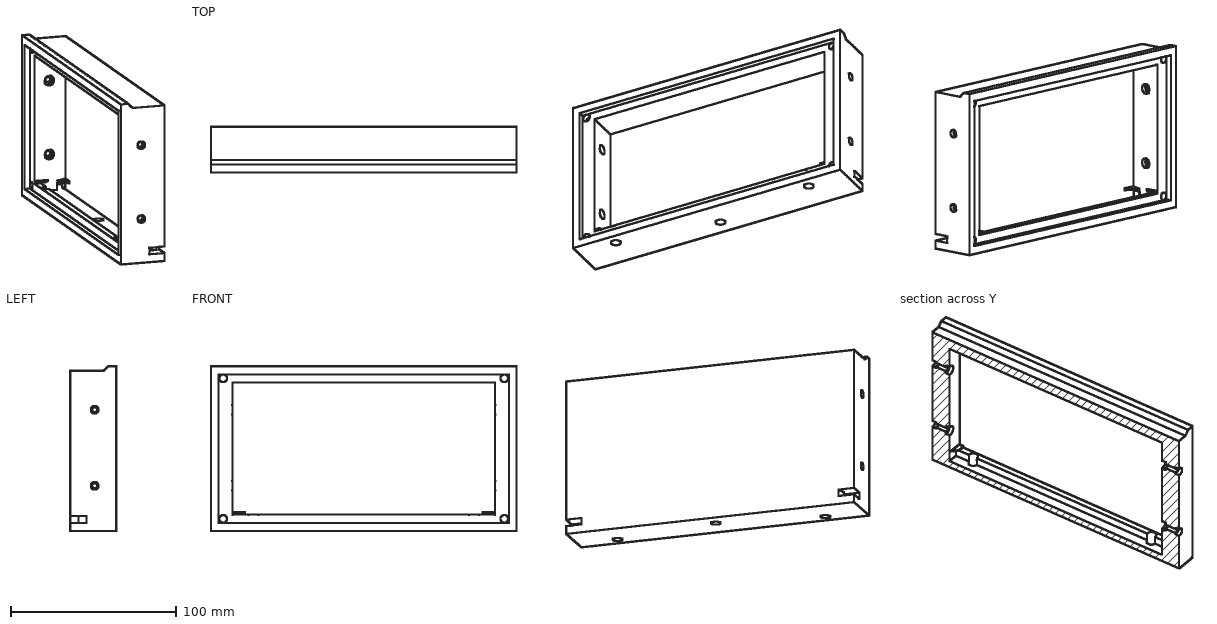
import cadquery as cq

length = 185.0
depth = 28.0
height = 100.0

lip_height = 2.8
lip_flat = 4.8
roof_z = height - lip_height

recess_margin_x = 4.6
recess_margin_z = 5.0
recess_depth = 3.5
window_margin_x = 13.0
window_margin_z = 10.0
frame_back_y = 7.5
cavity_back_y = 23.3
floor_z = 5.0
cavity_top_z = height - window_margin_z

corner_hole_diameter = 4.6
corner_hole_inset = 7.4
corner_hole_depth = 3.7

side_hole_y = 13.1
side_hole_heights = (27.4, 73.5)
side_throat_diameter = 3.1
side_outer_diameter = 4.6
side_inner_diameter = 6.0
side_bore_depth = 2.8

floor_hole_diameter = 6.0
front_hole_x = 25.7
front_hole_y = 7.2
middle_hole_y = 17.4

slot_height = 4.0
slot_radius = 9.8
slot_inner_y = 22.8

tab_length = 7.8
tab_reach = 2.2
tab_top_z = 11.7
tab_thickness = 1.5
tab_fall = 0.5
inner_tab_reach = 5.2

shelf_width = 3.3
shelf_front_y = 4.0
shelf_back_y = 12.4
shelf_thickness = 0.5


def box_between(low, high):
    """Box spanning two opposite corners."""
    size = [b - a for a, b in zip(low, high)]
    return cq.Workplane("XY").box(*size, centered=False).translate(low)


def x_cylinder(diameter, x_start, run, z):
    """Cylinder along X at the side screw position."""
    start = cq.Vector(x_start, side_hole_y, z)
    return cq.Workplane(obj=cq.Solid.makeCylinder(diameter / 2, run, start, cq.Vector(1, 0, 0)))


def both_ends(shape):
    """The shape joined with its mirror image about the middle of the length."""
    return shape.union(shape.mirror("YZ", (length / 2, 0, 0)))


def make_shell():
    profile = [
        (0, 0), (depth, 0), (depth, roof_z), (lip_flat + lip_height, roof_z),
        (lip_flat, height), (0, height),
    ]
    shell = cq.Workplane("YZ").polyline(profile).close().extrude(length)
    recess = box_between(
        (recess_margin_x, 0, recess_margin_z),
        (length - recess_margin_x, recess_depth, height - recess_margin_z),
    )
    window = box_between(
        (window_margin_x, 0, window_margin_z),
        (length - window_margin_x, frame_back_y, height - window_margin_z),
    )
    cavity = box_between(
        (window_margin_x, frame_back_y, floor_z),
        (length - window_margin_x, cavity_back_y, cavity_top_z),
    )
    return shell.cut(recess).cut(window).cut(cavity)


def corner_holes():
    return (
        cq.Workplane("XZ", origin=(length / 2, recess_depth, height / 2))
        .rect(length - 2 * corner_hole_inset, height - 2 * corner_hole_inset, forConstruction=True)
        .vertices()
        .circle(corner_hole_diameter / 2)
        .extrude(-corner_hole_depth)
    )


def side_holes():
    holes = cq.Workplane()
    for z in side_hole_heights:
        holes = holes.add(x_cylinder(side_throat_diameter, 0, window_margin_x, z))
        holes = holes.add(x_cylinder(side_outer_diameter, 0, side_bore_depth, z))
        inner_start = window_margin_x - side_bore_depth
        holes = holes.add(x_cylinder(side_inner_diameter, inner_start, side_bore_depth, z))
    return both_ends(holes.combine())


def floor_holes():
    positions = [
        (front_hole_x, front_hole_y),
        (length / 2, middle_hole_y),
        (length - front_hole_x, front_hole_y),
    ]
    return (
        cq.Workplane("XY").pushPoints(positions)
        .circle(floor_hole_diameter / 2).extrude(window_margin_z)
    )


def side_slots():
    corner = (
        cq.Workplane("XY", origin=(0, depth, floor_z)).circle(slot_radius).extrude(slot_height)
    )
    passage = box_between(
        (0, depth - slot_radius, floor_z),
        (window_margin_x, slot_inner_y, floor_z + slot_height),
    )
    return both_ends(corner.union(passage))


def rear_tab(tab_run, reach, top_z):
    """Wedge on the back wall whose top falls gently towards the front."""
    bottom_z = top_z - tab_thickness
    profile = [
        (cavity_back_y, bottom_z), (cavity_back_y, top_z),
        (cavity_back_y - reach, top_z - tab_fall),
    ]
    return (
        cq.Workplane("YZ", origin=(window_margin_x, 0, 0))
        .polyline(profile).close().extrude(tab_run)
    )


def rear_tabs():
    outer = rear_tab(tab_length, tab_reach, tab_top_z)
    inner = rear_tab(tab_length / 2, inner_tab_reach, tab_top_z - tab_fall / 2)
    return both_ends(outer.union(inner))


def side_shelves():
    tip_x = window_margin_x + shelf_width
    outline = [
        (window_margin_x, shelf_front_y), (tip_x, shelf_front_y),
        (tip_x, shelf_back_y - shelf_width), (window_margin_x, shelf_back_y),
    ]
    shelf = (
        cq.Workplane("XY", origin=(0, 0, tab_top_z - shelf_thickness))
        .polyline(outline).close().extrude(shelf_thickness)
    )
    return both_ends(shelf)


result = (
    make_shell()
    .cut(corner_holes())
    .cut(side_holes())
    .cut(floor_holes())
    .cut(side_slots())
    .union(rear_tabs())
    .union(side_shelves())
)